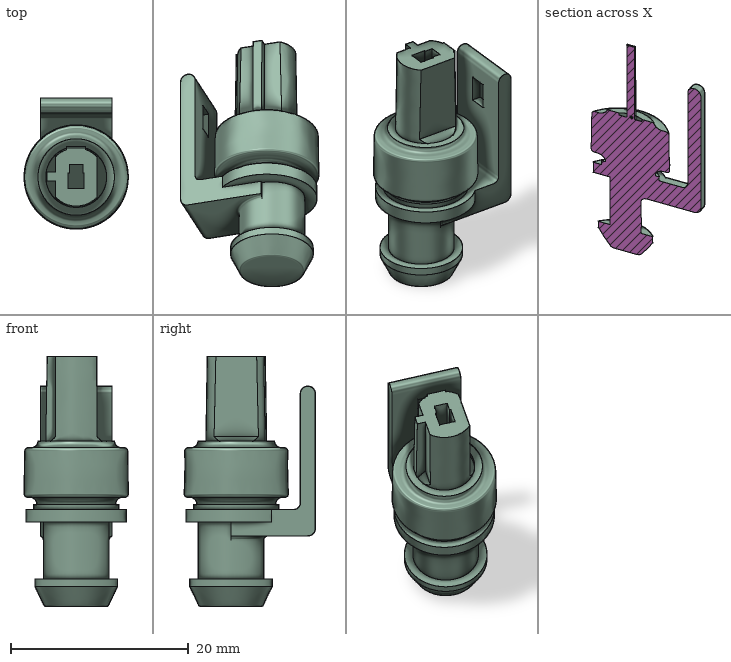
import cadquery as cq
import math

TOTAL_HEIGHT = 28.11
TOTAL_DEPTH = 14.77
BARREL_RADIUS = 11.74 / 2

BARB_AXIS_Y = -0.6
STEM_RADIUS = 3.7
BARB_LIP_RADIUS = 4.65
BARB_TIP_RADIUS = 3.57
BARB_TIP_FILLET = 0.3
BARB_CONE_TOP = 2.25
BARB_LIP_TOP = 3.1

FLANGE_RADIUS = 5.65
FLANGE_BOTTOM = 9.5
FLANGE_TOP = 10.93

STEP_RADIUS = 4.8
STEP_TOP = 11.47
LOWER_NECK_RADIUS = 4.45
BARREL_BOTTOM = 12.28
BARREL_TOP = 17.86
BARREL_TOP_RADIUS = 5.8
BARREL_FILLET = 0.4
COVE_OUTER_RADIUS = 5.14
UPPER_NECK_RADIUS = 4.3
NECK_TOP = 18.6

PLUG_BASE_RADIUS = 3.42
PLUG_TOP_RADIUS = 3.27
FLAT_HALF_WIDTH = 2.33
FLAT_BOTTOM = 19.1
RELIEF_BOTTOM = FLAT_BOTTOM - (PLUG_BASE_RADIUS - FLAT_HALF_WIDTH)
RIB_WIDTH = 2.14
KEY_WIDTH = 1.02
KEY_CENTER_Y = 0.05

CAVITY_BACK_Y = 1.43
CAVITY_STEP_Y = 0.47
CAVITY_FRONT_Y = -1.28
CAVITY_BACK_WIDTH = 1.5
CAVITY_FRONT_WIDTH = 1.8

BRACKET_WIDTH = 8.06
BRACKET_BACK_Y = TOTAL_DEPTH - BARREL_RADIUS
WALL_THICKNESS = 1.71
WALL_TOP = 24.78
ARM_BOTTOM = 7.93
ARM_TOP = FLANGE_TOP
BRACKET_INNER_FILLET = 0.7
BRACKET_OUTER_FILLET = 0.85
ARM_STEM_FILLET = 0.45

WINDOW_WIDTH = 2.05
WINDOW_BOTTOM = 19.2
WINDOW_TOP = 22.2
WINDOW_DEPTH = 1.05

DIAGONAL = math.sqrt(0.5)


def box(x_range, y_range, z_range):
    """Axis-aligned box between pairs of limits."""
    limits = (x_range, y_range, z_range)
    sizes = [high - low for low, high in limits]
    corner = [low for low, high in limits]
    return cq.Workplane("XY").box(*sizes, centered=False).translate(tuple(corner))


def centered_range(width):
    return (-width / 2, width / 2)


def make_barb():
    """Stem with a tapered hose lip."""
    barb = (
        cq.Workplane("XZ")
        .moveTo(0, 0)
        .lineTo(BARB_TIP_RADIUS, 0)
        .lineTo(BARB_LIP_RADIUS, BARB_CONE_TOP)
        .lineTo(BARB_LIP_RADIUS, BARB_LIP_TOP)
        .lineTo(STEM_RADIUS, BARB_LIP_TOP)
        .lineTo(STEM_RADIUS, FLANGE_TOP)
        .lineTo(0, FLANGE_TOP)
        .close()
        .revolve(360, (0, 0, 0), (0, 1, 0))
        .faces("<Z")
        .edges()
        .fillet(BARB_TIP_FILLET)
    )
    return barb.translate((0, BARB_AXIS_Y, 0))


def cove_middle(neck_radius, neck_z, shoulder_z):
    """Middle point of a concave cove arc between a neck and a barrel shoulder."""
    middle_radius = COVE_OUTER_RADIUS - DIAGONAL * (COVE_OUTER_RADIUS - neck_radius)
    middle_z = neck_z + DIAGONAL * (shoulder_z - neck_z)
    return (middle_radius, middle_z)


def make_barrel():
    """Flange, stepped necks and drafted barrel turned about Z."""
    barrel = (
        cq.Workplane("XZ")
        .moveTo(0, FLANGE_BOTTOM)
        .lineTo(FLANGE_RADIUS, FLANGE_BOTTOM)
        .lineTo(FLANGE_RADIUS, FLANGE_TOP)
        .lineTo(STEP_RADIUS, FLANGE_TOP)
        .lineTo(STEP_RADIUS, STEP_TOP)
        .lineTo(LOWER_NECK_RADIUS, STEP_TOP)
        .threePointArc(
            cove_middle(LOWER_NECK_RADIUS, STEP_TOP, BARREL_BOTTOM),
            (COVE_OUTER_RADIUS, BARREL_BOTTOM),
        )
        .lineTo(BARREL_RADIUS - BARREL_FILLET, BARREL_BOTTOM)
        .radiusArc((BARREL_RADIUS, BARREL_BOTTOM + BARREL_FILLET), -BARREL_FILLET)
        .lineTo(BARREL_TOP_RADIUS, BARREL_TOP - BARREL_FILLET)
        .radiusArc((BARREL_TOP_RADIUS - BARREL_FILLET, BARREL_TOP), -BARREL_FILLET)
        .lineTo(COVE_OUTER_RADIUS, BARREL_TOP)
        .threePointArc(
            cove_middle(UPPER_NECK_RADIUS, NECK_TOP, BARREL_TOP),
            (UPPER_NECK_RADIUS, NECK_TOP),
        )
        .lineTo(0, NECK_TOP)
        .close()
    )
    return barrel.revolve(360, (0, 0, 0), (0, 1, 0))


def make_bracket():
    """Arm running back from the stem, with an upright wall and its window."""
    wall_front_y = BRACKET_BACK_Y - WALL_THICKNESS
    wall_round = WALL_THICKNESS / 2
    wall_middle_y = BRACKET_BACK_Y - wall_round
    bracket = (
        cq.Workplane("YZ")
        .moveTo(BARB_AXIS_Y, ARM_BOTTOM)
        .lineTo(BRACKET_BACK_Y - BRACKET_OUTER_FILLET, ARM_BOTTOM)
        .radiusArc((BRACKET_BACK_Y, ARM_BOTTOM + BRACKET_OUTER_FILLET), -BRACKET_OUTER_FILLET)
        .lineTo(BRACKET_BACK_Y, WALL_TOP - wall_round)
        .threePointArc((wall_middle_y, WALL_TOP), (wall_front_y, WALL_TOP - wall_round))
        .lineTo(wall_front_y, ARM_TOP + BRACKET_INNER_FILLET)
        .radiusArc((wall_front_y - BRACKET_INNER_FILLET, ARM_TOP), BRACKET_INNER_FILLET)
        .lineTo(BARB_AXIS_Y, ARM_TOP)
        .close()
        .extrude(BRACKET_WIDTH / 2, both=True)
    )
    window = box(
        centered_range(WINDOW_WIDTH),
        (wall_front_y, wall_front_y + WINDOW_DEPTH),
        (WINDOW_BOTTOM, WINDOW_TOP),
    )
    return bracket.cut(window)


def make_stem_fillet():
    """Concave fillet where the arm's underside meets the back half of the stem."""
    fillet_bottom = ARM_BOTTOM - ARM_STEM_FILLET
    ring = (
        cq.Workplane("XZ")
        .moveTo(0, fillet_bottom)
        .lineTo(STEM_RADIUS, fillet_bottom)
        .radiusArc((STEM_RADIUS + ARM_STEM_FILLET, ARM_BOTTOM), ARM_STEM_FILLET)
        .lineTo(0, ARM_BOTTOM)
        .close()
        .revolve(360, (0, 0, 0), (0, 1, 0))
        .translate((0, BARB_AXIS_Y, 0))
    )
    under_arm = box(
        centered_range(BRACKET_WIDTH),
        (BARB_AXIS_Y, BRACKET_BACK_Y),
        (fillet_bottom, ARM_BOTTOM),
    )
    return ring.intersect(under_arm)


def make_side_wedge(side):
    """Cutter for one plug flat; it ends in a 45 degree floor reaching out to RELIEF_BOTTOM."""
    profile = [
        (side * FLAT_HALF_WIDTH, TOTAL_HEIGHT),
        (side * FLAT_HALF_WIDTH, FLAT_BOTTOM),
        (side * PLUG_BASE_RADIUS, RELIEF_BOTTOM),
        (side * PLUG_BASE_RADIUS, TOTAL_HEIGHT),
    ]
    return cq.Workplane("XZ").polyline(profile).close().extrude(PLUG_BASE_RADIUS, both=True)


def make_plug_post():
    """Drafted round post with a flat on each side."""
    post = (
        cq.Workplane("XY", origin=(0, 0, NECK_TOP))
        .circle(PLUG_BASE_RADIUS)
        .workplane(offset=TOTAL_HEIGHT - NECK_TOP)
        .circle(PLUG_TOP_RADIUS)
        .loft()
    )
    for side in (-1, 1):
        post = post.cut(make_side_wedge(side))
    return post


def make_neck_relief(side):
    """Pocket below the neck top where the sloped floor of a flat sinks in."""
    envelope = (
        cq.Workplane("XY", origin=(0, 0, RELIEF_BOTTOM))
        .circle(PLUG_BASE_RADIUS)
        .extrude(NECK_TOP - RELIEF_BOTTOM)
    )
    return make_side_wedge(side).intersect(envelope)


def drafted_rib(plane, direction, width, base_z):
    """Radial rib from the axis, leaning in with the same reach as the post."""
    profile = [
        (0, base_z),
        (direction * PLUG_BASE_RADIUS, base_z),
        (direction * PLUG_TOP_RADIUS, TOTAL_HEIGHT),
        (0, TOTAL_HEIGHT),
    ]
    return cq.Workplane(plane).polyline(profile).close().extrude(width / 2, both=True)


def make_cavity():
    """Stepped terminal cavity, as deep as the plug stands above the neck."""
    depth_range = (NECK_TOP, TOTAL_HEIGHT)
    back = box(centered_range(CAVITY_BACK_WIDTH), (CAVITY_STEP_Y, CAVITY_BACK_Y), depth_range)
    front = box(centered_range(CAVITY_FRONT_WIDTH), (CAVITY_FRONT_Y, CAVITY_STEP_Y), depth_range)
    return back.union(front)


barrel = make_barrel()
for side in (-1, 1):
    barrel = barrel.cut(make_neck_relief(side))

back_rib = drafted_rib("YZ", 1, RIB_WIDTH, NECK_TOP)
side_key = drafted_rib("XZ", -1, KEY_WIDTH, RELIEF_BOTTOM).translate((0, KEY_CENTER_Y, 0))
plug = make_plug_post().union(back_rib).union(side_key).cut(make_cavity())

result = barrel.union(make_barb()).union(make_bracket()).union(make_stem_fillet()).union(plug)